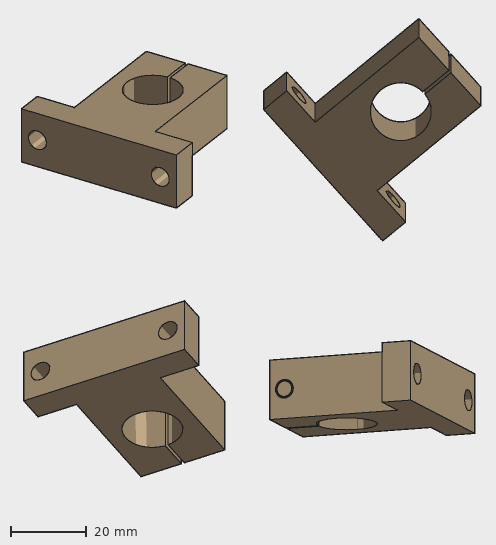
import cadquery as cq

base_length = 48.0
total_depth = 44.0
thickness = 16.0
base_depth = 8.0
column_width = 25.0

bore_diameter = 16.0
bore_height = 27.0
slit_width = 0.85

mount_diameter = 5.5
mount_spacing = 38.0

screw_diameter = 5.0
screw_end_distance = 4.2
groove_width = 0.45

base = cq.Workplane("XY").box(base_length, base_depth, thickness, centered=(True, False, True))
column = cq.Workplane("XY").box(column_width, total_depth, thickness, centered=(True, False, True))
body = base.union(column)

bore = (
    cq.Workplane("XY")
    .center(0, bore_height)
    .circle(bore_diameter / 2)
    .extrude(thickness / 2, both=True)
)
slit = (
    cq.Workplane("XY")
    .box(slit_width, total_depth - bore_height, thickness, centered=(True, False, True))
    .translate((0, bore_height, 0))
)
body = body.cut(bore).cut(slit)

for side in (-1, 1):
    mount_hole = (
        cq.Workplane("XZ", origin=(side * mount_spacing / 2, 0, 0))
        .circle(mount_diameter / 2)
        .extrude(-base_depth)
    )
    body = body.cut(mount_hole)

screw_y = total_depth - screw_end_distance
screw = (
    cq.Workplane("YZ", origin=(-slit_width / 2, screw_y, 0))
    .circle(screw_diameter / 2)
    .extrude(slit_width)
)
body = body.union(screw)

face_x = -column_width / 2
outer_radius = screw_diameter / 2
inner_radius = outer_radius - groove_width
groove = (
    cq.Workplane("XY")
    .moveTo(face_x, screw_y + outer_radius)
    .lineTo(face_x, screw_y + inner_radius)
    .lineTo(face_x + groove_width / 2, screw_y + (outer_radius + inner_radius) / 2)
    .close()
    .revolve(360, (0, screw_y, 0), (1, screw_y, 0))
)
result = body.cut(groove)